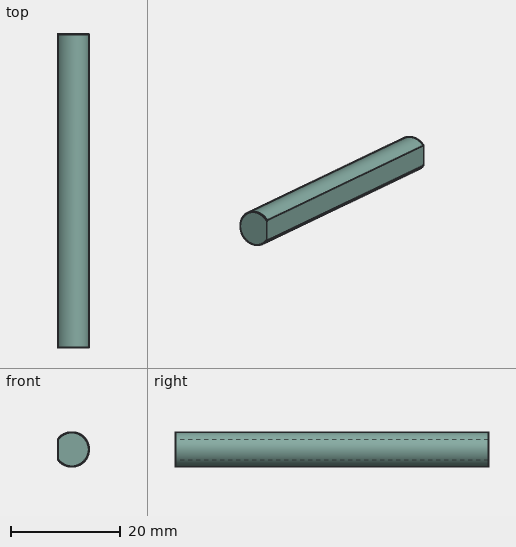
import cadquery as cq

length = 57.15
diameter = 6.35
width_across_flat = 5.7
end_chamfer = 0.1

radius = diameter / 2
flat_x = radius - width_across_flat

bar = cq.Workplane("XZ").circle(radius).extrude(length / 2, both=True)
bar = bar.faces("<Y or >Y").chamfer(end_chamfer)

flat_cut = (
    cq.Workplane("XY")
    .box(diameter, length, diameter)
    .translate((flat_x - diameter / 2, 0, 0))
)

result = bar.cut(flat_cut)